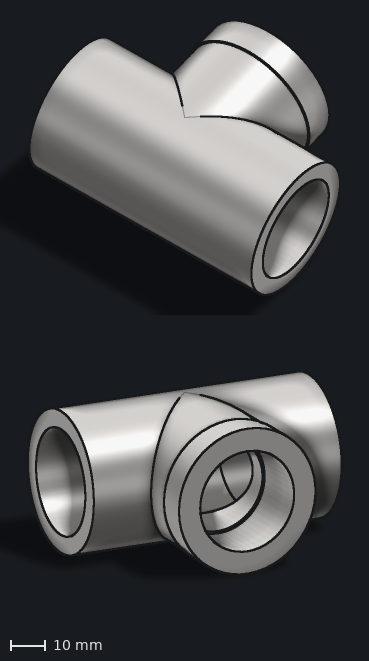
import cadquery as cq

run_length = 80.0
body_diameter = 43.0
run_bore_diameter = 30.0
socket_diameter = 32.0
socket_depth = 22.0

branch_reach = 40.6
collar_diameter = 44.0
collar_length = 9.8
branch_bore_diameter = 29.0
branch_socket_diameter = 30.3
branch_socket_depth = 19.2


def run_cylinder(diameter, start_x, length):
    """Cylinder on the run axis, growing toward +X."""
    return cq.Workplane("YZ", origin=(start_x, 0, 0)).circle(diameter / 2).extrude(length)


def branch_cylinder(diameter, start_y, length):
    """Cylinder on the branch axis, growing toward +Y."""
    return cq.Workplane("XZ", origin=(0, start_y, 0)).circle(diameter / 2).extrude(-length)


run_start = -run_length / 2
body = run_cylinder(body_diameter, run_start, run_length)
body = body.union(branch_cylinder(body_diameter, 0, branch_reach))
body = body.union(branch_cylinder(collar_diameter, branch_reach - collar_length, collar_length))

body = body.cut(run_cylinder(run_bore_diameter, run_start, run_length))
for socket_start in (run_start, run_length / 2 - socket_depth):
    body = body.cut(run_cylinder(socket_diameter, socket_start, socket_depth))

body = body.cut(branch_cylinder(branch_bore_diameter, 0, branch_reach))
branch_socket_start = branch_reach - branch_socket_depth
body = body.cut(branch_cylinder(branch_socket_diameter, branch_socket_start, branch_socket_depth))

result = body